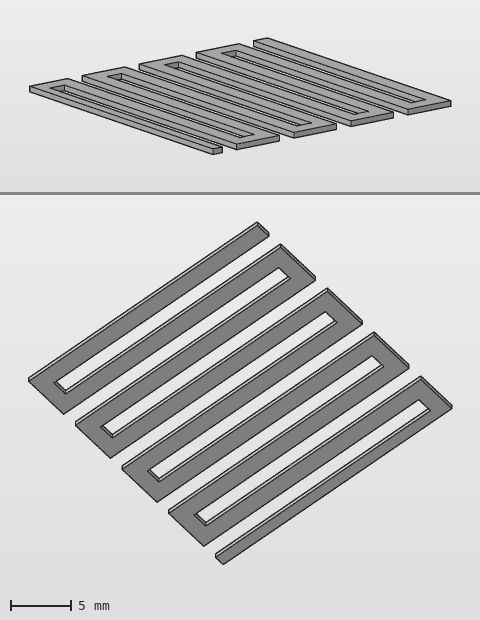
import cadquery as cq

side = 25.0
thickness = 0.5
gap_width = 1.5
run_width = 1.5
bend_width = 1.5
gap_count = 8

pitch = run_width + gap_width
gap_length = side - bend_width


def gap_cutter(index):
    """Through slot below run number index; even slots open at -X, odd ones at +X."""
    open_direction = -1 if index % 2 == 0 else 1
    center_x = open_direction * bend_width / 2
    center_y = side / 2 - run_width - gap_width / 2 - index * pitch
    return (
        cq.Workplane("XY")
        .center(center_x, center_y)
        .rect(gap_length, gap_width)
        .extrude(thickness)
    )


result = cq.Workplane("XY").rect(side, side).extrude(thickness)
for gap_index in range(gap_count):
    result = result.cut(gap_cutter(gap_index))